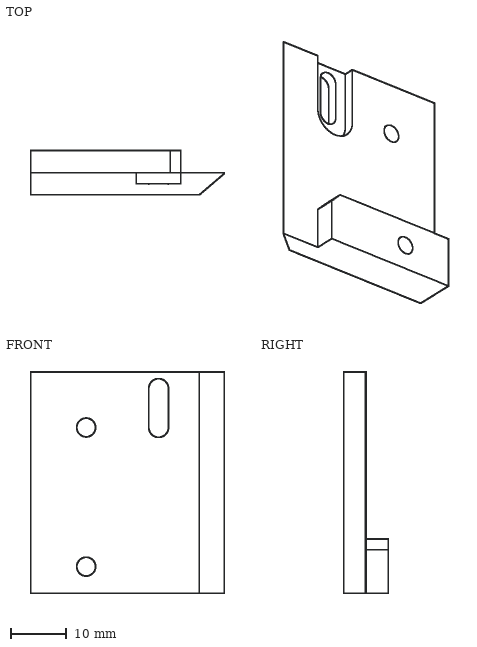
import cadquery as cq

width = 34.82
height = 39.8
total_depth = 8.0
plate_thickness = total_depth / 2
bevel_width = 4.5
edge_land = 0.15

ledge_length = 27.0
ledge_height = 9.8
ledge_chamfer = 1.9

hole_diameter = 3.35
hole_x = 10.0
hole_heights = (4.8, 29.8)

slot_x = 23.0
slot_width = 3.5
slot_bottom_center = 29.8
slot_top_center = 36.8
recess_diameter = 8.0
recess_radius = recess_diameter / 2
recess_depth = 2.0
recess_bottom_center = 28.8


def make_plate():
    """Plate with a knife-like bevel along its +X edge."""
    outline = [
        (0, 0),
        (width - bevel_width, 0),
        (width, plate_thickness - edge_land),
        (width, plate_thickness),
        (0, plate_thickness),
    ]
    return cq.Workplane("XY").polyline(outline).close().extrude(height)


def make_ledge():
    """Bar behind the plate, chamfered at its upper +X corner."""
    ledge_depth = total_depth - plate_thickness
    bar = cq.Workplane("XY").box(ledge_length, ledge_depth, ledge_height, centered=False)
    bar = bar.edges(">X and >Z").chamfer(ledge_chamfer)
    return bar.translate((0, plate_thickness, 0))


def round_cutter(x, z, radius, start_y, depth):
    """Cylinder along +Y."""
    return cq.Workplane("XZ", origin=(x, start_y, z)).circle(radius).extrude(-depth)


def upright_cutter(radius, bottom_center, top, start_y, depth):
    """Round-bottomed cutter on the slot line with a flat top."""
    straight = cq.Workplane("XY").box(
        2 * radius, depth, top - bottom_center, centered=(True, False, False)
    )
    straight = straight.translate((slot_x, start_y, bottom_center))
    return straight.union(round_cutter(slot_x, bottom_center, radius, start_y, depth))


result = make_plate().union(make_ledge())

for hole_z in hole_heights:
    result = result.cut(round_cutter(hole_x, hole_z, hole_diameter / 2, 0, total_depth))

slot_radius = slot_width / 2
slot = upright_cutter(slot_radius, slot_bottom_center, slot_top_center, 0, plate_thickness)
slot = slot.union(round_cutter(slot_x, slot_top_center, slot_radius, 0, plate_thickness))
result = result.cut(slot)

recess = upright_cutter(recess_radius, recess_bottom_center, height, plate_thickness - recess_depth, recess_depth)
result = result.cut(recess)